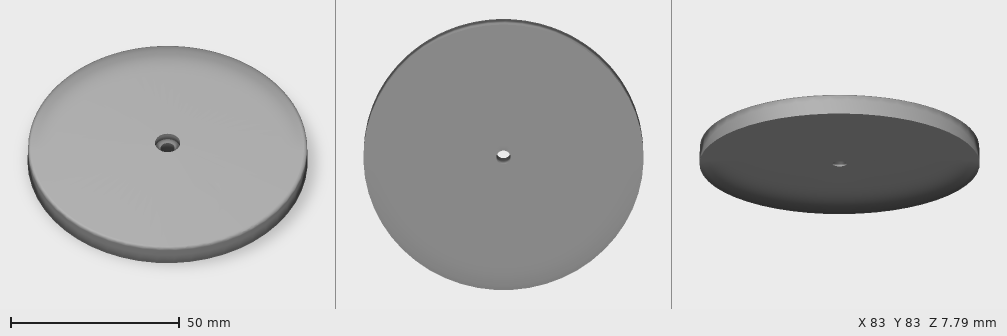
import cadquery as cq

base_diameter = 83.0
rim_top_diameter = 82.7
total_height = 7.8
rim_height = 6.2
rim_fillet = 1.0

hole_diameter = 4.2
counterbore_diameter = 7.5
counterbore_depth = 2.3

base_radius = base_diameter / 2
rim_radius = rim_top_diameter / 2
dome_rise = total_height - rim_height
dome_radius = (rim_radius**2 + dome_rise**2) / (2 * dome_rise)
mid_radius = rim_radius / 2
mid_height = total_height - dome_radius + (dome_radius**2 - mid_radius**2) ** 0.5


def domed_disc():
    """Revolve the half section: flat base, tapered wall and shallow dome."""
    section = (
        cq.Workplane("XZ")
        .lineTo(base_radius, 0)
        .lineTo(rim_radius, rim_height)
        .threePointArc((mid_radius, mid_height), (0, total_height))
        .close()
    )
    disc = section.revolve(360, (0, 0, 0), (0, 1, 0))
    rim_edge = cq.selectors.RadiusNthSelector(0)
    return disc.edges(rim_edge).fillet(rim_fillet)


def stepped_hole():
    """Through hole with a counterbore opening in the dome."""
    through = cq.Workplane("XY").circle(hole_diameter / 2).extrude(total_height)
    counterbore = (
        cq.Workplane("XY", origin=(0, 0, total_height - counterbore_depth))
        .circle(counterbore_diameter / 2)
        .extrude(counterbore_depth)
    )
    return through.union(counterbore)


result = domed_disc().cut(stepped_hole())